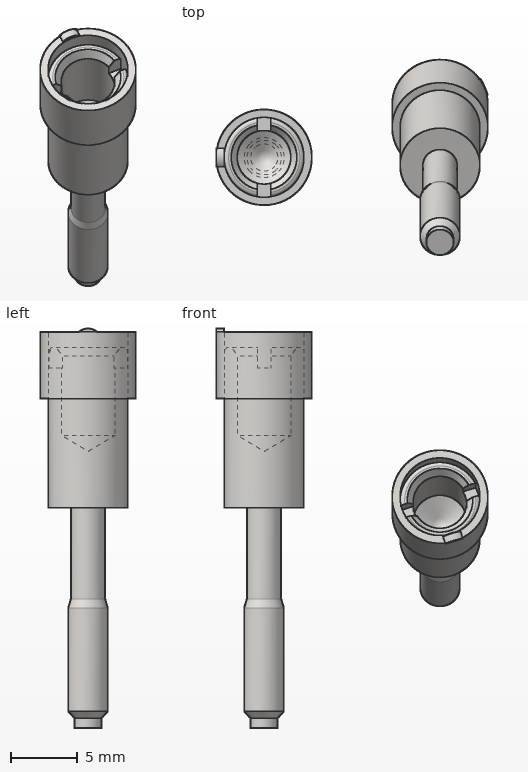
import cadquery as cq
import math

overall_height = 29.95
collar_radius = 3.6
collar_height = 5.0
bump_height = 0.27
bump_width = 1.38
collar_top = overall_height - bump_height
collar_bottom = collar_top - collar_height

head_radius = 3.0
head_bottom = 16.5
head_recess = 1.15
head_top = collar_top - head_recess
head_rounding = 0.33
stem_radius = 1.3
barrel_radius = 1.5
barrel_top = 9.0
shoulder_height = 0.7
tip_radius = 1.02
tip_height = 0.75
tip_taper_height = 0.5

socket_radius = 2.0
socket_depth = 6.6
socket_tip_angle = 118.0
countersink_radius = 2.45
countersink_depth = 0.63
slot_width = 1.0
slot_depth = 1.53


def make_index_bump():
    """Circular-segment bump along X on the -X side of the rim."""
    half_width = bump_width / 2
    wall = collar_radius - head_radius
    return (
        cq.Workplane("YZ", origin=(-collar_radius, 0, collar_top))
        .moveTo(-half_width, 0)
        .threePointArc((0, bump_height), (half_width, 0))
        .close()
        .extrude(wall)
    )


def make_collar():
    ring = (
        cq.Workplane("XY", origin=(0, 0, collar_bottom))
        .circle(collar_radius)
        .circle(head_radius)
        .extrude(collar_height)
    )
    return ring.union(make_index_bump())


def make_contact_blank():
    """Solid of revolution: tip, barrel, stem and round-edged head."""
    head = (
        cq.Workplane("XY", origin=(0, 0, head_bottom))
        .circle(head_radius)
        .extrude(head_top - head_bottom)
        .faces(">Z")
        .edges()
        .fillet(head_rounding)
    )
    pin = (
        cq.Workplane("XZ")
        .lineTo(tip_radius, 0)
        .lineTo(tip_radius, tip_height)
        .lineTo(barrel_radius, tip_height + tip_taper_height)
        .lineTo(barrel_radius, barrel_top)
        .lineTo(stem_radius, barrel_top + shoulder_height)
        .lineTo(stem_radius, head_bottom)
        .lineTo(0, head_bottom)
        .close()
        .revolve(360, (0, 0, 0), (0, 1, 0))
    )
    return head.union(pin)


def make_socket():
    """Countersunk blind hole with a conical bottom."""
    floor = head_top - socket_depth
    cone_depth = socket_radius / math.tan(math.radians(socket_tip_angle / 2))
    return (
        cq.Workplane("XZ")
        .moveTo(0, floor - cone_depth)
        .lineTo(socket_radius, floor)
        .lineTo(socket_radius, head_top - countersink_depth)
        .lineTo(countersink_radius, head_top)
        .lineTo(0, head_top)
        .close()
        .revolve(360, (0, 0, 0), (0, 1, 0))
    )


def make_slots():
    """One bar across the head that opens both wall slots."""
    return cq.Workplane("XY", origin=(0, 0, head_top - slot_depth)).box(
        slot_width, 2 * head_radius, slot_depth, centered=(True, True, False)
    )


def make_contact():
    return make_contact_blank().cut(make_socket()).cut(make_slots())


collar = make_collar()
contact = make_contact()
result = cq.Compound.makeCompound([collar.val(), contact.val()])